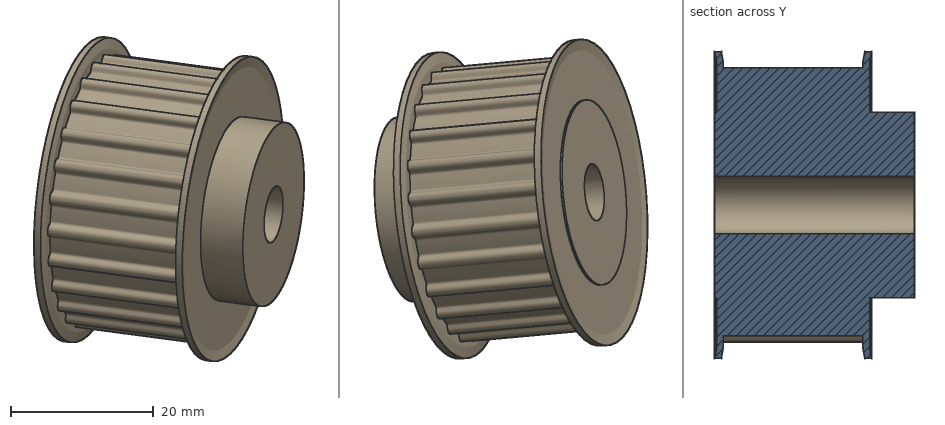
import cadquery as cq
import math


total_length = 28.0
rim_end = 22.0
sheet_thickness = 1.0
rim_lean = 0.27

flange_diameter = 43.0
bend_diameter = 40.0
hub_diameter = 26.0
bore_diameter = 8.0
tip_diameter = 38.55

tooth_count = 25
tooth_depth = 1.0
flank_angle = math.radians(25)
tip_half_width = 0.56
tip_round = 0.75
root_round = 0.4

flange_flat_start = rim_lean
belt_start = flange_flat_start + sheet_thickness
belt_end = rim_end - belt_start
flange_flat_end = rim_end - rim_lean
flange_radius = flange_diameter / 2
bend_radius = bend_diameter / 2
hub_radius = hub_diameter / 2
tip_radius = tip_diameter / 2
root_radius = tip_radius - tooth_depth


def flanged_body():
    """Revolved root cylinder, both leaning flanges, core end flush with the rim, and hub."""
    profile = (
        cq.Workplane("XZ")
        .moveTo(0, 0)
        .lineTo(0, hub_radius)
        .lineTo(flange_flat_start, hub_radius)
        .lineTo(flange_flat_start, bend_radius)
        .lineTo(0, flange_radius)
        .lineTo(sheet_thickness, flange_radius)
        .lineTo(belt_start, bend_radius)
        .lineTo(belt_start, root_radius)
        .lineTo(belt_end, root_radius)
        .lineTo(belt_end, bend_radius)
        .lineTo(rim_end - sheet_thickness, flange_radius)
        .lineTo(rim_end, flange_radius)
        .lineTo(flange_flat_end, bend_radius)
        .lineTo(flange_flat_end, hub_radius)
        .lineTo(total_length, hub_radius)
        .lineTo(total_length, 0)
        .close()
    )
    return profile.revolve(360, (0, 0, 0), (1, 0, 0))


def arc_middle(center, radius, start, end):
    """Middle point of the short arc from start to end about center."""
    toward_u = (start[0] + end[0]) / 2 - center[0]
    toward_v = (start[1] + end[1]) / 2 - center[1]
    stretch = radius / math.hypot(toward_u, toward_v)
    return center[0] + toward_u * stretch, center[1] + toward_v * stretch


def mirrored(point):
    """The same point on the other flank of the tooth."""
    return -point[0], point[1]


def tooth():
    """One tooth centred on +Z: straight flanks, rounded tip, filleted into the root cylinder."""
    normal_u = math.cos(flank_angle)
    normal_v = math.sin(flank_angle)
    flank_offset = tip_half_width * normal_u + tip_radius * normal_v

    tip_center_v = tip_radius - tip_round
    tip_center_u = (flank_offset - tip_round - tip_center_v * normal_v) / normal_u
    tip_center = (tip_center_u, tip_center_v)
    top = (tip_center_u, tip_radius)
    flank_top = (tip_center_u + tip_round * normal_u, tip_center_v + tip_round * normal_v)

    across = flank_offset + root_round
    along = math.sqrt((root_radius + root_round) ** 2 - across ** 2)
    root_center = (across * normal_u - along * normal_v, across * normal_v + along * normal_u)
    flank_foot = (root_center[0] - root_round * normal_u, root_center[1] - root_round * normal_v)
    floor_share = root_radius / (root_radius + root_round)
    foot = (root_center[0] * floor_share, root_center[1] * floor_share)

    tip_middle = arc_middle(tip_center, tip_round, top, flank_top)
    root_middle = arc_middle(root_center, root_round, flank_foot, foot)
    return (
        cq.Workplane("YZ", origin=(belt_start, 0, 0))
        .moveTo(0, bore_diameter / 2)
        .lineTo(*foot)
        .threePointArc(root_middle, flank_foot)
        .lineTo(*flank_top)
        .threePointArc(tip_middle, top)
        .lineTo(*mirrored(top))
        .threePointArc(mirrored(tip_middle), mirrored(flank_top))
        .lineTo(*mirrored(flank_foot))
        .threePointArc(mirrored(root_middle), mirrored(foot))
        .close()
        .extrude(belt_end - belt_start)
    )


def teeth():
    """All the teeth, evenly spaced round the axis."""
    first = tooth().val()
    pitch_angle = 360 / tooth_count
    return [
        first.rotate(cq.Vector(0, 0, 0), cq.Vector(1, 0, 0), index * pitch_angle)
        for index in range(tooth_count)
    ]


def bore():
    """Shaft hole through the full length."""
    return cq.Workplane("YZ").circle(bore_diameter / 2).extrude(total_length)


pulley = flanged_body()
for single_tooth in teeth():
    pulley = pulley.union(cq.Workplane(single_tooth))
result = pulley.cut(bore())